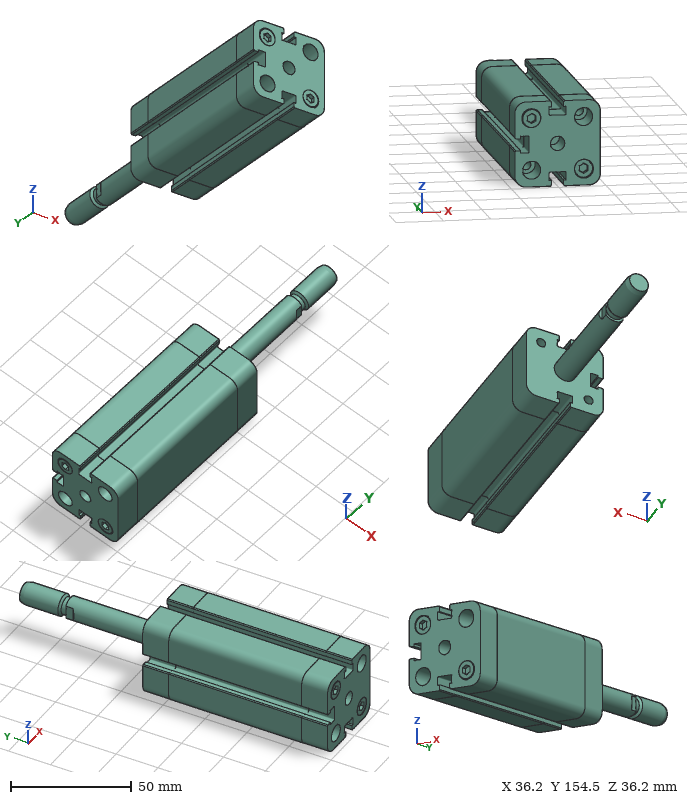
import cadquery as cq


total_length = 154.5

cap_width = 36.2
tube_width = 36.0
body_length = 88.0
cap_length = 12.4
cap_corner_radius = 4.8
tube_corner_radius = 4.3

slot_opening = 5.1
slot_lip = 2.5
slot_bevel = 0.5
slot_width = 7.1
slot_depth = 6.0
slot_floor_fillet = 0.5

center_hole_diameter = 6.0
bolt_offset = 11.0
bore_offset = 11.1
through_hole_diameter = 4.2
counterbore_diameter = 7.5
screw_bore_diameter = 8.0
screw_head_diameter = 7.5
screw_head_height = 4.0
socket_across_corners = 4.2
socket_depth = 2.0

rod_diameter = 10.0
tip_length = 2.3
tip_taper = 0.6
thread_length = 18.7
neck_diameter = 7.9
neck_length = 3.2
neck_taper_length = 1.0
wrench_flat_width = 8.0
wrench_flat_length = 3.4


def disc(y, diameter, length, points=((0, 0),)):
    """Cylinders running from the given Y towards +Y, centred on (x, z) points."""
    return (
        cq.Workplane("XZ", origin=(0, y, 0))
        .pushPoints(points)
        .circle(diameter / 2)
        .extrude(-length)
    )


def slot_cutter(length, width):
    """T-slot opening upwards in a body section of the given length and width."""
    opening = cq.Workplane("XY").box(slot_opening, length, slot_depth, centered=(True, False, False))
    chamber = (
        cq.Workplane("XY")
        .box(slot_width, length, slot_depth - slot_lip, centered=(True, False, False))
        .edges("|Y and <Z")
        .fillet(slot_floor_fillet)
    )
    half_opening = slot_opening / 2
    mouth = (
        cq.Workplane("XZ")
        .moveTo(-half_opening, slot_depth - slot_bevel)
        .lineTo(half_opening, slot_depth - slot_bevel)
        .lineTo(half_opening + slot_bevel, slot_depth)
        .lineTo(-half_opening - slot_bevel, slot_depth)
        .close()
        .extrude(-length)
    )
    return opening.union(chamber).union(mouth).translate((0, 0, width / 2 - slot_depth))


def body_section(start, length, width, corner_radius):
    """Rounded square prism with slots on the top, bottom and -X sides; the +X side is plain."""
    section = (
        cq.Workplane("XZ")
        .rect(width, width)
        .extrude(-length)
        .edges("|Y")
        .fillet(corner_radius)
    )
    cutter = slot_cutter(length, width)
    for angle in (0, 180, -90):
        section = section.cut(cutter.rotate((0, 0, 0), (0, 1, 0), angle))
    return section.translate((0, start, 0))


def make_body():
    tube_length = body_length - 2 * cap_length
    rear_cap = body_section(0, cap_length, cap_width, cap_corner_radius)
    tube = body_section(cap_length, tube_length, tube_width, tube_corner_radius)
    front_cap = body_section(cap_length + tube_length, cap_length, cap_width, cap_corner_radius)
    return rear_cap.union(tube).union(front_cap)


def cut_end_face(body):
    open_corners = [(side * bolt_offset, side * bolt_offset) for side in (1, -1)]
    through_corners = [(side * bore_offset, side * bore_offset) for side in (1, -1)]
    screw_corners = [(side * bolt_offset, -side * bolt_offset) for side in (1, -1)]
    bore_corners = [(side * bore_offset, -side * bore_offset) for side in (1, -1)]

    body = body.cut(disc(0, center_hole_diameter, cap_length))
    body = body.cut(disc(0, counterbore_diameter, cap_length, open_corners))
    body = body.cut(disc(0, through_hole_diameter, body_length, through_corners))

    clearance = disc(0, screw_bore_diameter, screw_head_height, bore_corners)
    clearance = clearance.cut(disc(0, screw_head_diameter, screw_head_height, screw_corners))
    socket = (
        cq.Workplane("XZ")
        .transformed(rotate=(0, 0, 90))
        .pushPoints(open_corners)
        .polygon(6, socket_across_corners)
        .extrude(-socket_depth)
    )
    return body.cut(clearance).cut(socket)


def make_rod():
    rod_radius = rod_diameter / 2
    neck_radius = neck_diameter / 2
    tip_radius = rod_radius - tip_taper
    thread_start = total_length - thread_length
    neck_start = thread_start - neck_length
    rod = (
        cq.Workplane("XY")
        .moveTo(0, body_length)
        .lineTo(rod_radius, body_length)
        .lineTo(rod_radius, neck_start)
        .lineTo(neck_radius, neck_start)
        .lineTo(neck_radius, thread_start - neck_taper_length)
        .lineTo(rod_radius, thread_start)
        .lineTo(rod_radius, total_length - tip_length)
        .lineTo(tip_radius, total_length)
        .lineTo(0, total_length)
        .close()
        .revolve(360, (0, 0, 0), (0, 1, 0))
    )

    flat_x = wrench_flat_width / 2
    flat_run_out = rod_radius - flat_x
    flat_end = neck_start - wrench_flat_length
    flat = (
        cq.Workplane("XY")
        .moveTo(flat_x, neck_start)
        .lineTo(rod_radius, neck_start)
        .lineTo(rod_radius, flat_end - flat_run_out)
        .lineTo(flat_x, flat_end)
        .close()
        .extrude(rod_radius, both=True)
    )
    return rod.cut(flat).cut(flat.mirror("YZ"))


result = cut_end_face(make_body()).union(make_rod())